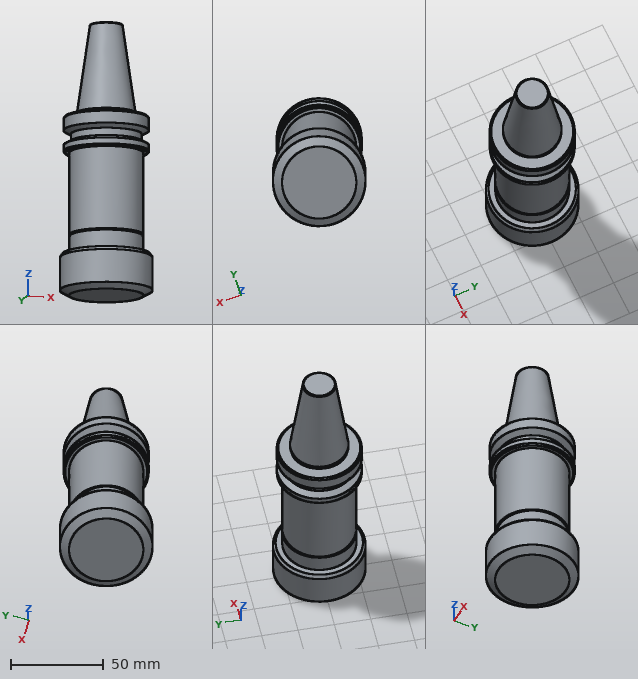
import cadquery as cq

total_height = 148.4

nut_radius = 25.0
nut_top = 22.7
nut_top_chamfer_width = 1.5
nut_top_chamfer_height = 2.0
nut_bottom_radius = 20.0
nut_bottom_chamfer_height = 2.8

body_radius = 20.0
body_groove_bottom = 32.4
body_groove_width = 0.9
body_groove_depth = 0.5

flange_radius = 23.0
flange_bottom = 78.2
flange_top = 98.0
flange_chamfer = 0.9
groove_radius = 19.1
groove_floor_bottom = 84.5
groove_floor_top = 88.5
groove_side_height = 2.1

taper_bottom = 100.0
taper_large_radius = 15.9
taper_ratio = 7 / 24
tip_chamfer = 0.5
neck_radius = 15.5
neck_chamfer = taper_large_radius - neck_radius

tip_radius = taper_large_radius - (total_height - tip_chamfer - taper_bottom) * taper_ratio / 2

nut_profile = [
    (0, 0),
    (nut_bottom_radius, 0),
    (nut_radius, nut_bottom_chamfer_height),
    (nut_radius, nut_top - nut_top_chamfer_height),
    (nut_radius - nut_top_chamfer_width, nut_top),
]

body_profile = [
    (body_radius, nut_top),
    (body_radius, body_groove_bottom),
    (body_radius - body_groove_depth, body_groove_bottom + body_groove_width / 2),
    (body_radius, body_groove_bottom + body_groove_width),
    (body_radius, flange_bottom),
]

flange_profile = [
    (flange_radius - flange_chamfer, flange_bottom),
    (flange_radius, flange_bottom + flange_chamfer),
    (flange_radius, groove_floor_bottom - groove_side_height),
    (groove_radius, groove_floor_bottom),
    (groove_radius, groove_floor_top),
    (flange_radius, groove_floor_top + groove_side_height),
    (flange_radius, flange_top - flange_chamfer),
    (flange_radius - flange_chamfer, flange_top),
]

taper_profile = [
    (neck_radius, flange_top),
    (neck_radius, taper_bottom - neck_chamfer),
    (taper_large_radius, taper_bottom),
    (tip_radius, total_height - tip_chamfer),
    (tip_radius - tip_chamfer, total_height),
    (0, total_height),
]

half_section = nut_profile + body_profile + flange_profile + taper_profile
result = cq.Workplane("XZ").polyline(half_section).close().revolve(360, (0, 0, 0), (0, 1, 0))